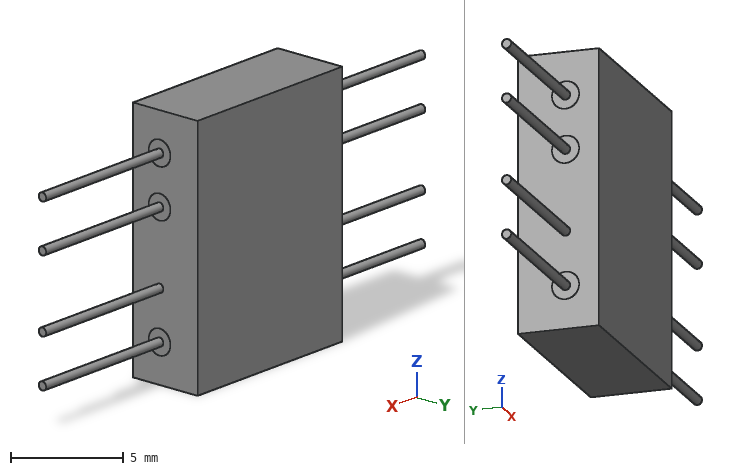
import cadquery as cq

overall_length = 25.63

housing_length = 9.8
housing_depth = 3.82
housing_height = 12.95

lead_diameter = 0.44
lead_pitch = 2.55
inner_lead_spacing = 3.82
lead_y = -0.33
lead_length = (overall_length - housing_length) / 2

collar_diameter = 1.28
collar_depth = 0.77

inner_lead_z = inner_lead_spacing / 2
outer_lead_z = inner_lead_z + lead_pitch
lead_heights = [outer_lead_z, inner_lead_z, -inner_lead_z, -outer_lead_z]
plain_lead_z = -inner_lead_z
end_sides = [-1, 1]


def x_cylinder(diameter, x_start, length, z):
    """Cylinder along X in the plane of the leads; a negative length runs toward -X."""
    return (
        cq.Workplane("YZ", origin=(x_start, lead_y, z))
        .circle(diameter / 2)
        .extrude(length)
    )


def make_lead(side, z):
    """One lead with its seat: a wide flush collar, or the bare lead sunk to the same depth."""
    inner_x = side * (housing_length / 2 - collar_depth)
    lead = x_cylinder(lead_diameter, inner_x, side * (collar_depth + lead_length), z)
    if z != plain_lead_z:
        lead = lead.union(x_cylinder(collar_diameter, inner_x, side * collar_depth, z))
    return lead


def make_housing(leads):
    """Solid block with a matching recess for every lead."""
    housing = cq.Workplane("XY").box(housing_length, housing_depth, housing_height)
    for lead in leads:
        housing = housing.cut(lead)
    return housing


leads = [make_lead(side, z) for side in end_sides for z in lead_heights]
housing = make_housing(leads)

result = cq.Compound.makeCompound([housing.val(), *[lead.val() for lead in leads]])